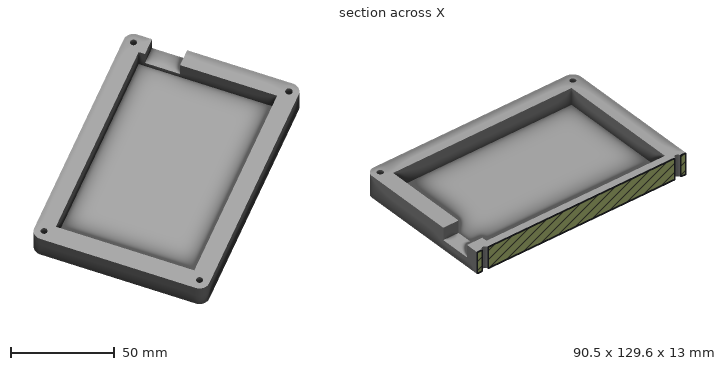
import cadquery as cq

width = 90.5
length = 129.6
height = 13.0
corner_radius = 5.0

rim = 9.5
pocket_depth = 10.0

notch_offset = 12.7
notch_width = 18.1
notch_depth = 7.4

hole_diameter = 3.4
large_hole_diameter = 3.6


def make_block():
    block = cq.Workplane("XY").box(width, length, height, centered=(True, True, False))
    return block.edges("|Z").fillet(corner_radius)


def make_pocket():
    floor = cq.Workplane("XY").workplane(offset=height - pocket_depth)
    return floor.rect(width - 2 * rim, length - 2 * rim).extrude(pocket_depth)


def make_notch():
    center_x = -width / 2 + notch_offset + notch_width / 2
    center_y = length / 2 - rim / 2
    floor = cq.Workplane("XY").workplane(offset=height - notch_depth)
    return floor.center(center_x, center_y).rect(notch_width, rim).extrude(notch_depth)


def make_hole(side_x, side_y, diameter):
    x = side_x * (width / 2 - corner_radius)
    y = side_y * (length / 2 - corner_radius)
    return cq.Workplane("XY").center(x, y).circle(diameter / 2).extrude(height)


result = make_block().cut(make_pocket()).cut(make_notch())
for side_x in (-1, 1):
    for side_y in (-1, 1):
        is_large = side_x > 0 and side_y > 0
        diameter = large_hole_diameter if is_large else hole_diameter
        result = result.cut(make_hole(side_x, side_y, diameter))